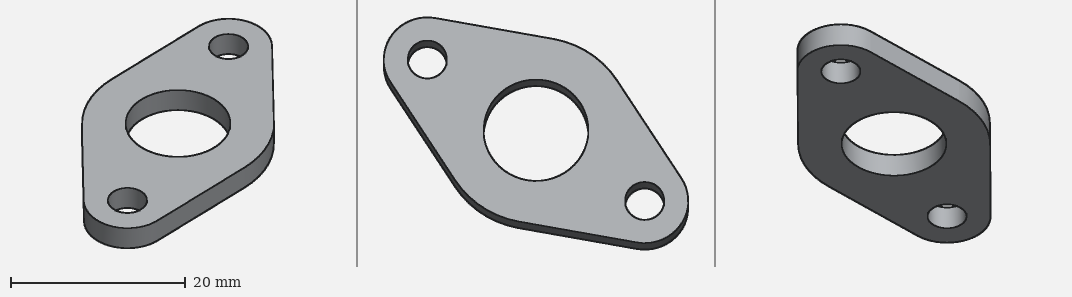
import cadquery as cq
import math

length = 40.0
thickness = 3.0
middle_radius = 11.0
end_radius = 5.0
bore_diameter = 12.0
bolt_hole_diameter = 4.5

bolt_offset = length / 2 - end_radius

tangent_angle = math.asin((middle_radius - end_radius) / bolt_offset)
normal_x = math.cos(tangent_angle)
normal_y = math.sin(tangent_angle)

middle_x = middle_radius * normal_x
middle_y = middle_radius * normal_y
end_x = end_radius * normal_x
end_y = bolt_offset + end_radius * normal_y

flange = (
    cq.Workplane("XY")
    .moveTo(middle_x, -middle_y)
    .threePointArc((middle_radius, 0), (middle_x, middle_y))
    .lineTo(end_x, end_y)
    .threePointArc((0, length / 2), (-end_x, end_y))
    .lineTo(-middle_x, middle_y)
    .threePointArc((-middle_radius, 0), (-middle_x, -middle_y))
    .lineTo(-end_x, -end_y)
    .threePointArc((0, -length / 2), (end_x, -end_y))
    .close()
    .extrude(thickness)
)

bore = cq.Workplane("XY").circle(bore_diameter / 2).extrude(thickness)
bolt_holes = (
    cq.Workplane("XY")
    .pushPoints([(0, -bolt_offset), (0, bolt_offset)])
    .circle(bolt_hole_diameter / 2)
    .extrude(thickness)
)

result = flange.cut(bore).cut(bolt_holes)